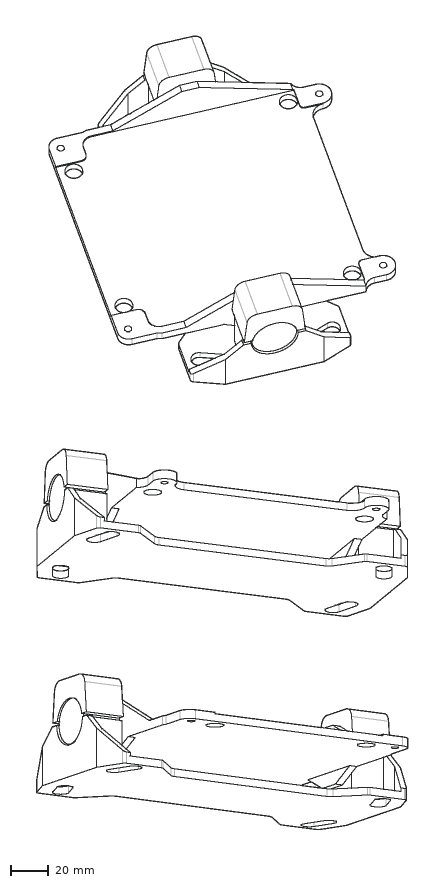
import cadquery as cq
import math

half_length = 96.0
hinge_height = 30.5
pedestal_inner_x = 72.5
pin_radius = 12.5
sides = (-1, 1)
overshoot = 19.2

base_half_depth = 45.0
base_thickness = 4.2
taper_start_y = 27.6
taper_end_x = 89.0
pad_inner_x = 65.0
strap_narrowing = 15.2
strap_fillet = 4.2
pad_corner_radius = 2.0
wall_thickness = 3.5
wall_end_height = 6.1
wall_top_half_depth = 17.5
pedestal_half_depth = 15.5
cradle_clearance = 0.5
slot_outer_end = (83.3, 25.2)
slot_inner_end = (78.5, 37.2)
slot_width = 8.6

plate_bottom = 20.7
plate_top = 25.0
pad_top = 25.7
tray_front = -79.0
tray_back = 63.5
tray_fillet = 6.1
front_side_x = 71.5
step_front = -58.5
step_back = -56.0
tab_center = (61.0, 70.8)
tab_radius = 6.7
tab_shoulder_y = 64.0
tab_pad_front = 58.5
tab_pad_radius = 2.3
front_pad_inner_x = 53.0
front_pad_back = -60.9
front_pad_radius = 3.8
front_screw_hole = (64.3, -72.8)
screw_hole_radius = 2.0
back_access_hole = (61.0, 53.5)
front_access_hole = (47.8, -70.3)
access_hole_radius = 4.8

flange_outer_x = 72.2
flange_inner_x = tab_center[0] + tab_radius
flange_front = -42.6
flange_back = 58.0
flange_peak = 46.0
flange_peak_front = -4.0
flange_peak_back = 5.8
keel_bottom = 13.2
keel_bottom_half_depth = 6.7
keel_top_half_depth = 21.3
pin_end_inset = 1.2
cap_top = 54.5
cap_gap = 2.0
cap_bottom_half_depth = 17.0
cap_top_half_depth = 15.0
cap_fillet = 5.8


def four_quadrants(points):
    """Closed outline from points that run from -Y towards Y = 0 at +X."""
    right = points + [(x, -y) for x, y in reversed(points)]
    return right + [(-x, -y) for x, y in right]


def prism_x(x_start, x_end, points):
    """Prism along X of an outline of (Y, Z) points."""
    plane = cq.Workplane("YZ", origin=(x_start, 0, 0))
    return plane.polyline(points).close().extrude(x_end - x_start)


def hinge_cylinder(radius, x_start, x_end):
    """Cylinder around the hinge axis."""
    plane = cq.Workplane("YZ", origin=(x_start, 0, hinge_height))
    return plane.circle(radius).extrude(x_end - x_start)


def round_corners(body, x, y, radius):
    """Fillet the vertical edges at (x, y) and at its mirror images."""
    def is_corner(edge):
        center = edge.Center()
        same_x = math.isclose(abs(center.x), abs(x), abs_tol=0.02)
        return same_x and math.isclose(abs(center.y), abs(y), abs_tol=0.02)

    return body.edges("|Z").filter(is_corner).fillet(radius)


def base_blank():
    """The base's plan, extruded to full height."""
    strap_x = pad_inner_x - strap_narrowing
    strap_y = base_half_depth - strap_narrowing
    plan = four_quadrants([
        (strap_x, -strap_y),
        (pad_inner_x, -base_half_depth),
        (taper_end_x, -base_half_depth),
        (half_length, -taper_start_y),
    ])
    blank = cq.Workplane("XY").polyline(plan).close().extrude(hinge_height)
    blank = round_corners(blank, strap_x, strap_y, strap_fillet)
    blank = round_corners(blank, pad_inner_x, base_half_depth, pad_corner_radius)
    return round_corners(blank, taper_end_x, base_half_depth, pad_corner_radius)


def space_between_walls():
    """Room above the plate, bounded by the inner faces of the side walls."""
    taper_angle = math.atan2(half_length - taper_end_x, base_half_depth - taper_start_y)
    bend_x = half_length - wall_thickness
    bend_y = taper_start_y - wall_thickness * math.tan(taper_angle / 2)
    end_y = base_half_depth + overshoot
    end_x = bend_x - (end_y - bend_y) * math.tan(taper_angle)
    plan = four_quadrants([(end_x, -end_y), (bend_x, -bend_y)])
    plane = cq.Workplane("XY", origin=(0, 0, base_thickness))
    return plane.polyline(plan).close().extrude(hinge_height)


def mounting_slots():
    """Four slanted slots through the pads."""
    run_x = slot_inner_end[0] - slot_outer_end[0]
    run_y = slot_inner_end[1] - slot_outer_end[1]
    middle_x = slot_outer_end[0] + run_x / 2
    middle_y = slot_outer_end[1] + run_y / 2
    length = math.hypot(run_x, run_y) + slot_width
    angle = math.degrees(math.atan2(run_y, run_x))
    slots = cq.Workplane("XY")
    for side in sides:
        for end in sides:
            center = (side * middle_x, end * middle_y, 0)
            slot = cq.Workplane("XY", origin=center).slot2D(length, slot_width, side * end * angle)
            slots = slots.add(slot.extrude(base_thickness))
    return slots.combine()


def make_base():
    side_profile = [
        (-base_half_depth, 0),
        (-base_half_depth, wall_end_height),
        (-wall_top_half_depth, hinge_height),
        (wall_top_half_depth, hinge_height),
        (base_half_depth, wall_end_height),
        (base_half_depth, 0),
    ]
    pedestal_profile = [
        (-pedestal_half_depth, 0),
        (-pedestal_half_depth, hinge_height),
        (pedestal_half_depth, hinge_height),
        (pedestal_half_depth, 0),
    ]
    body = base_blank().cut(space_between_walls())
    body = body.intersect(prism_x(-half_length, half_length, side_profile))
    for side in sides:
        body = body.union(prism_x(side * pedestal_inner_x, side * half_length, pedestal_profile))
    cradles = hinge_cylinder(pin_radius + cradle_clearance, -half_length, half_length)
    return body.cut(cradles).cut(mounting_slots())


def tray_blank():
    """Half of the tray's plan at +X, extruded from the underside to the pad tops."""
    tab_x, tab_y = tab_center
    tab_inner_x = tab_x - tab_radius
    notch_radius = tab_y - tray_back
    notch_x = tab_inner_x - notch_radius
    notch_middle = notch_radius * math.sqrt(0.5)
    corner_middle = tray_fillet * math.sqrt(0.5)
    corner_x = front_side_x - tray_fillet
    corner_y = tray_front + tray_fillet
    flare_angle = math.acos(1 - (flange_outer_x - flange_inner_x) / tray_fillet)

    def flare(angle):
        x = flange_inner_x + tray_fillet * (1 - math.cos(angle))
        return x, tab_shoulder_y - tray_fillet * math.sin(angle)

    outline = (
        cq.Workplane("XY", origin=(0, 0, plate_bottom))
        .moveTo(0, tray_front)
        .lineTo(corner_x, tray_front)
        .threePointArc((corner_x + corner_middle, corner_y - corner_middle), (front_side_x, corner_y))
        .lineTo(front_side_x, step_front)
        .lineTo(flange_outer_x, step_back)
        .lineTo(*flare(flare_angle))
        .threePointArc(flare(flare_angle / 2), flare(0))
        .lineTo(flange_inner_x, tab_y)
        .threePointArc((tab_x, tab_y + tab_radius), (tab_inner_x, tab_y))
        .threePointArc((notch_x + notch_middle, tab_y - notch_middle), (notch_x, tray_back))
        .lineTo(0, tray_back)
        .close()
    )
    return outline.extrude(pad_top - plate_bottom)


def tray_recess():
    """Shallow recess that leaves the corner pads and side rims standing, at +X."""
    tab_inner_x = tab_center[0] - tab_radius
    outline = [
        (0, tray_front - overshoot),
        (front_pad_inner_x, tray_front - overshoot),
        (front_pad_inner_x, front_pad_back),
        (flange_inner_x, front_pad_back),
        (flange_inner_x, tab_pad_front),
        (tab_inner_x, tab_pad_front),
        (tab_inner_x, tray_back + overshoot),
        (0, tray_back + overshoot),
    ]
    plane = cq.Workplane("XY", origin=(0, 0, plate_top))
    recess = plane.polyline(outline).close().extrude(pad_top - plate_top)
    recess = round_corners(recess, front_pad_inner_x, front_pad_back, front_pad_radius)
    recess = round_corners(recess, flange_inner_x, front_pad_back, tray_fillet)
    return round_corners(recess, tab_inner_x, tab_pad_front, tab_pad_radius)


def tray_holes():
    """Screw and access holes at +X."""
    plane = cq.Workplane("XY", origin=(0, 0, plate_bottom))
    height = pad_top - plate_bottom
    screws = plane.pushPoints([tab_center, front_screw_hole]).circle(screw_hole_radius).extrude(height)
    access_centers = [back_access_hole, front_access_hole]
    return screws.add(plane.pushPoints(access_centers).circle(access_hole_radius).extrude(height)).combine()


def flange():
    """Upright side flange at +X, with a short keel below the plate."""
    return prism_x(flange_inner_x, flange_outer_x, [
        (flange_front, pad_top),
        (flange_peak_front, flange_peak),
        (flange_peak_back, flange_peak),
        (flange_back, pad_top),
        (keel_top_half_depth, plate_bottom),
        (keel_bottom_half_depth, keel_bottom),
        (-keel_bottom_half_depth, keel_bottom),
        (-keel_top_half_depth, plate_bottom),
    ])


def pin_and_cap():
    """Hinge pin at +X with the cap that sits on it above the pedestal."""
    cap_bottom = hinge_height + cap_gap
    cap = prism_x(pedestal_inner_x, half_length, [
        (-cap_bottom_half_depth, cap_bottom),
        (-cap_top_half_depth, cap_top),
        (cap_top_half_depth, cap_top),
        (cap_bottom_half_depth, cap_bottom),
    ])
    cap = cap.faces(">Z").edges("|X").fillet(cap_fillet)
    pin_end_x = half_length - pin_end_inset
    cap = cap.cut(hinge_cylinder(pin_radius, pin_end_x, half_length))
    return cap.union(hinge_cylinder(pin_radius, flange_outer_x, pin_end_x))


def make_tray():
    half = tray_blank().cut(tray_recess()).cut(tray_holes())
    half = half.union(flange()).union(pin_and_cap())
    return half.union(half.mirror("YZ"))


base = make_base()
tray = make_tray()
result = cq.Compound.makeCompound([base.solids().val(), tray.solids().val()])